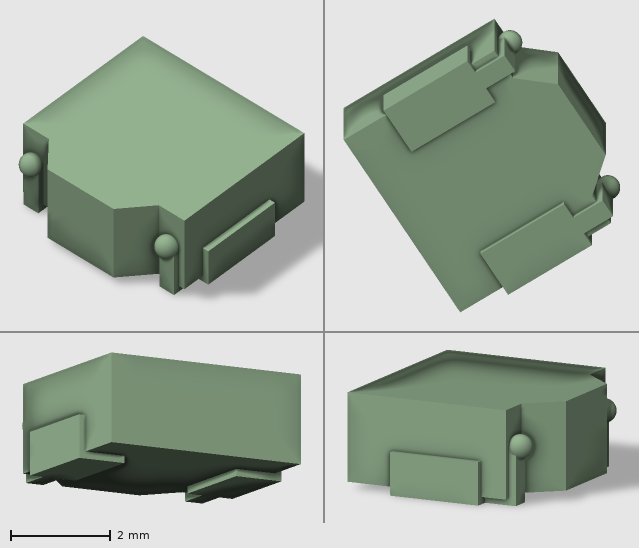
import cadquery as cq

housing_width = 4.4
housing_front_y = -1.55
housing_back_y = 2.05
nose_base_width = 3.0
nose_tip_width = 1.8
nose_depth = 0.7
overall_height = 2.0

sheet_thickness = 0.15
foot_width = 1.05
terminal_length = 2.0
side_wall_height = 0.9
tail_width = 0.4
tail_centre_x = 1.85
bead_radius = 0.25
bead_centre_z = 1.2

housing_side_x = housing_width / 2
nose_tip_y = housing_front_y - nose_depth
terminal_side_x = housing_side_x + sheet_thickness
terminal_front_y = -terminal_length / 2
terminal_back_y = terminal_length / 2
tail_front_y = housing_front_y - sheet_thickness
tail_inner_x = tail_centre_x - tail_width / 2
tail_outer_x = tail_centre_x + tail_width / 2


def box_between(start, end):
    """Box spanning two opposite corners, start being the lower corner on every axis."""
    size = [high - low for low, high in zip(start, end)]
    return cq.Workplane("XY").box(*size, centered=False).translate(start)


def make_bead(side):
    """Ball centred on the outer face of the tail; side is +1 for +X and -1 for -X."""
    centre = (side * tail_centre_x, tail_front_y, bead_centre_z)
    return cq.Workplane("XY").sphere(bead_radius).translate(centre)


def make_terminal(side):
    """One terminal, shaped on the +X side and mirrored when side is -1."""
    foot = box_between(
        (terminal_side_x - foot_width, terminal_front_y, 0),
        (terminal_side_x, terminal_back_y, sheet_thickness),
    )
    side_wall = box_between(
        (housing_side_x, terminal_front_y, 0),
        (terminal_side_x, terminal_back_y, side_wall_height),
    )
    tail_base = box_between(
        (tail_inner_x, tail_front_y, 0),
        (tail_outer_x, terminal_front_y, sheet_thickness),
    )
    tail_upright = box_between(
        (tail_inner_x, tail_front_y, 0),
        (tail_outer_x, housing_front_y, bead_centre_z),
    )
    sheet = foot.union(side_wall).union(tail_base).union(tail_upright)
    if side < 0:
        sheet = sheet.mirror("YZ")
    return sheet.union(make_bead(side))


def make_housing():
    """Block with the tapered nose and a shallow socket behind each weld bead."""
    outline = [
        (-housing_side_x, housing_back_y),
        (-housing_side_x, housing_front_y),
        (-nose_base_width / 2, housing_front_y),
        (-nose_tip_width / 2, nose_tip_y),
        (nose_tip_width / 2, nose_tip_y),
        (nose_base_width / 2, housing_front_y),
        (housing_side_x, housing_front_y),
        (housing_side_x, housing_back_y),
    ]
    block = (
        cq.Workplane("XY")
        .workplane(offset=sheet_thickness)
        .polyline(outline)
        .close()
        .extrude(overall_height - sheet_thickness)
    )
    for side in (-1, 1):
        block = block.cut(make_bead(side))
    return block


housing = make_housing().solids()
terminals = [make_terminal(side).solids() for side in (-1, 1)]

result = cq.Compound.makeCompound([housing.val(), *[terminal.val() for terminal in terminals]])